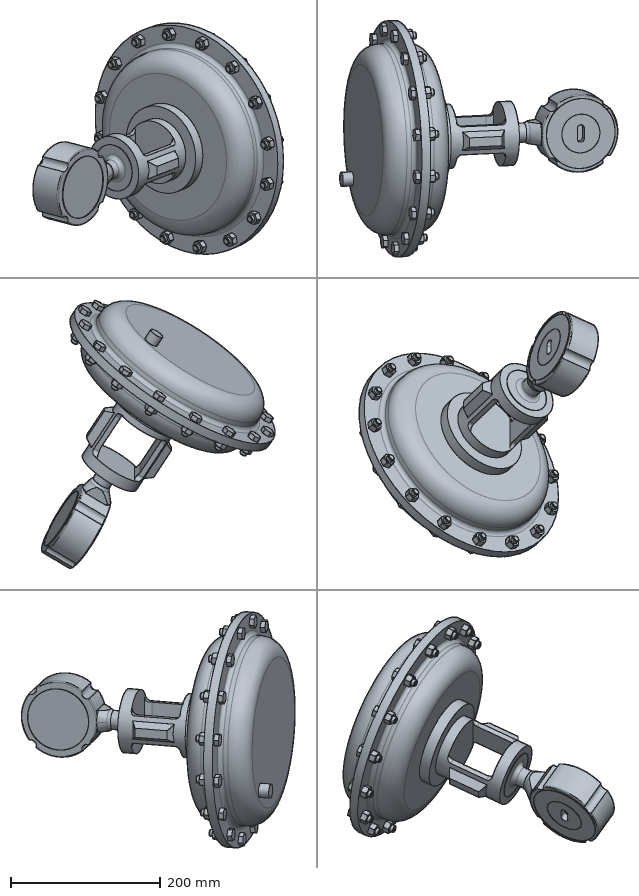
import cadquery as cq
import math


diagonal = math.sqrt(0.5)

flange_radius = 317.5 / 2
flange_half = 6.0
bowl_radius = 128.2
bowl_depth = 45.0
bowl_corner = 26.5
flange_fillet = 6.0

bolt_count = 16
bolt_circle = 147.0
bolt_start_angle = -10.4
hex_flats = 15.0
head_height = 6.5
nut_height = 8.5
nut_chamfer = 1.0
nut_turn = 30
stud_length = 14.0
stud_radius = 9.8 / 2
stud_chamfer = 1.0

pipe_x = 62.0
pipe_z = -63.5
pipe_radius = 19.0 / 2
pipe_end = 59.5

boss_radius = 121.0 / 2
boss_front = -60.5
yoke_radius = 43.5
yoke_front = -159.5
window_rear = -74.8
window_front = -143.0
window_half = 31.8
window_taper_length = 9.8
window_taper_depth = 2.5
leg_half = 19.0
leg_fillet = 6.5
plug_radius = 32.0
plug_height = 0.7
plug_front = yoke_front - plug_height

lug_reach = 53.0
lug_base = 41.0
lug_middle = -110.0
lug_top_size = (45.0, 12.5)
lug_base_size = (58.5, 25.5)

stem_x = 1.5
stem_radius = 13.0
stem_end = -178.0
stem_fillet = 6.0
neck_start = -182.5
neck_radius = 15.0
neck_half_height = 14.8

housing_x = -2.5
housing_y = -248.5
housing_radius = 53.0
housing_width = 44.5
housing_edge = 1.5
groove_count = 4
groove_start_angle = 45
groove_radius = 7.5
groove_offset = 55.5
cap_y = -249.5
cap_radius = 47.7
back_cap_radius = 42.5
cap_height = 1.0
dial_radius = 26.5
dial_recess = 0.5
slot_length = 23.5
slot_width = 9.8
slot_depth = 11.0


def front_plane(y, x=0.0, z=0.0):
    """Plane across the actuator axis; extrusions run toward -Y."""
    return cq.Workplane("XZ", origin=(x, y, z))


def disc(radius, y_rear, y_front, x=0.0, z=0.0):
    return front_plane(y_rear, x, z).circle(radius).extrude(y_rear - y_front)


def make_half_casing():
    """Front bowl and half of the flange, revolved about Y."""
    flat_radius = bowl_radius - bowl_corner
    corner_y = -bowl_depth + bowl_corner
    fillet_r = bowl_radius + flange_fillet
    fillet_y = -flange_half - flange_fillet
    return (
        cq.Workplane("XY")
        .moveTo(0, 0)
        .lineTo(flange_radius, 0)
        .lineTo(flange_radius, -flange_half)
        .lineTo(fillet_r, -flange_half)
        .threePointArc(
            (fillet_r - flange_fillet * diagonal, fillet_y + flange_fillet * diagonal),
            (bowl_radius, fillet_y),
        )
        .lineTo(bowl_radius, corner_y)
        .threePointArc(
            (flat_radius + bowl_corner * diagonal, corner_y - bowl_corner * diagonal),
            (flat_radius, -bowl_depth),
        )
        .lineTo(0, -bowl_depth)
        .close()
        .revolve(360, (0, 0, 0), (0, 1, 0))
    )


def make_bolt():
    """Bolt on the +X side: head behind the flange, nut and stud end in front."""
    hex_corners = hex_flats / math.cos(math.pi / 6)

    def hexagon(y_rear, height):
        return front_plane(y_rear).polygon(6, hex_corners).extrude(height)

    head = hexagon(flange_half + head_height, head_height + flange_half)
    nut_envelope = disc(hex_corners / 2, 0, -flange_half - nut_height).faces("<Y").chamfer(nut_chamfer)
    nut_prism = hexagon(0, flange_half + nut_height).rotate((0, 0, 0), (0, 1, 0), nut_turn)
    nut = nut_prism.intersect(nut_envelope)
    stud = disc(stud_radius, 0, -flange_half - stud_length).faces("<Y").chamfer(stud_chamfer)
    return head.union(nut).union(stud).translate((bolt_circle, 0, 0))


def make_casing():
    front_half = make_half_casing()
    casing = front_half.union(front_half.mirror("XZ"))
    bolt = make_bolt()
    for index in range(bolt_count):
        angle = bolt_start_angle + index * 360 / bolt_count
        casing = casing.union(bolt.rotate((0, 0, 0), (0, 1, 0), angle))
    return casing.union(disc(pipe_radius, pipe_end, 0, pipe_x, pipe_z))


def make_lug():
    """Tapered lug on the +X leg."""
    return (
        cq.Workplane("YZ", origin=(lug_base, lug_middle, 0))
        .rect(*lug_base_size)
        .workplane(offset=lug_reach - lug_base)
        .rect(*lug_top_size)
        .loft(combine=True)
    )


def make_yoke():
    yoke = disc(yoke_radius, boss_front, yoke_front)
    window_length = window_rear - window_front
    window_middle = (window_rear + window_front) / 2

    relief_height = yoke_radius
    for side in (1, -1):
        relief = (
            cq.Workplane("XY", origin=(0, window_middle, side * (leg_half + relief_height / 2)))
            .box(2 * yoke_radius, window_length, relief_height)
            .faces("<Z" if side > 0 else ">Z")
            .edges("|X")
            .fillet(leg_fillet)
        )
        yoke = yoke.cut(relief)

    front_half_width = window_half - window_taper_depth
    taper_y = window_front + window_taper_length
    window = (
        cq.Workplane("XY")
        .polyline([
            (-window_half, window_rear),
            (window_half, window_rear),
            (window_half, taper_y),
            (front_half_width, window_front),
            (-front_half_width, window_front),
            (-window_half, taper_y),
        ])
        .close()
        .extrude(yoke_radius, both=True)
    )
    lug = make_lug()
    yoke = yoke.cut(window).union(lug).union(lug.mirror("YZ"))
    boss = disc(boss_radius, -bowl_depth, boss_front)
    plug = disc(plug_radius, yoke_front, plug_front)
    return yoke.union(boss).union(plug)


def make_stem():
    foot_radius = stem_radius + stem_fillet
    straight_y = plug_front - stem_fillet
    return (
        cq.Workplane("XY", origin=(stem_x, 0, 0))
        .moveTo(0, plug_front)
        .lineTo(foot_radius, plug_front)
        .threePointArc(
            (foot_radius - stem_fillet * diagonal, straight_y + stem_fillet * diagonal),
            (stem_radius, straight_y),
        )
        .lineTo(stem_radius, stem_end)
        .lineTo(neck_radius, neck_start)
        .lineTo(0, neck_start)
        .close()
        .revolve(360, (0, 0, 0), (0, 1, 0))
    )


def make_neck():
    """Widening neck with flats above and below, sunk into the housing."""
    neck_end = housing_y + housing_radius
    flare = (
        front_plane(neck_start, stem_x)
        .circle(neck_radius)
        .workplane(offset=neck_start - neck_end)
        .center(housing_x - stem_x, 0)
        .circle(housing_width / 2)
        .loft(combine=True)
    )
    root = disc(housing_width / 2, neck_end, housing_y, housing_x)
    slab = cq.Workplane("XY", origin=(0, neck_end, 0)).box(
        2 * housing_width, 2 * housing_radius, 2 * neck_half_height
    )
    return flare.union(root).intersect(slab)


def side_plane(x, y):
    """Plane facing +X, centred on an axis parallel to X at z = 0."""
    return cq.Workplane("YZ", origin=(x, y, 0))


def make_indicator():
    """Round housing with grooved rim, neck, end caps and a slotted dial."""
    left_face = housing_x - housing_width / 2
    right_face = housing_x + housing_width / 2
    cap_face = left_face - cap_height
    housing = (
        side_plane(left_face, housing_y)
        .circle(housing_radius)
        .extrude(housing_width)
        .edges()
        .fillet(housing_edge)
    )
    grooves = (
        side_plane(left_face, housing_y)
        .polarArray(groove_offset, groove_start_angle, 360, groove_count)
        .circle(groove_radius)
        .extrude(housing_width)
    )
    cap = side_plane(cap_face, cap_y).circle(cap_radius).extrude(2 * cap_height)
    back_cap = side_plane(right_face, cap_y).circle(back_cap_radius).extrude(cap_height)
    dial = side_plane(cap_face, cap_y).circle(dial_radius).extrude(dial_recess)
    slot = side_plane(cap_face, cap_y).slot2D(slot_length, slot_width, 90).extrude(slot_depth)
    body = housing.union(make_neck()).cut(grooves).union(cap).union(back_cap)
    return body.cut(dial).cut(slot)


result = make_casing().union(make_yoke()).union(make_stem()).union(make_indicator())